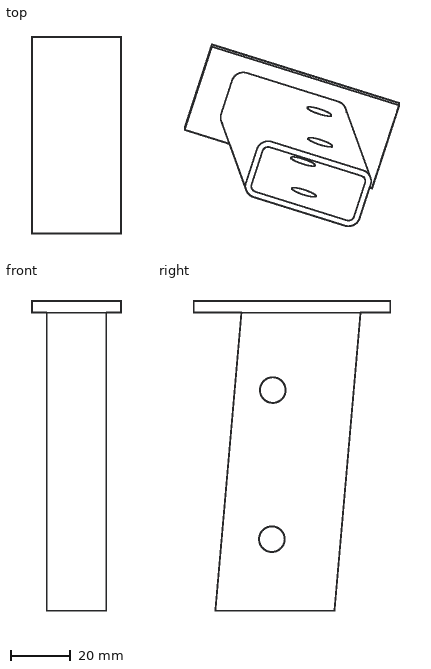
import cadquery as cq
import math

plate_width = 30.0
plate_length = 66.0
plate_thickness = 4.0
total_height = 104.0

post_width = 20.0
post_length = 40.0
corner_radius = 4.0
wall_thickness = 2.0
lean_angle = 5.0

hole_diameter = 8.5
hole_places = [(-6.5, 74.0), (-6.8, 24.0)]

post_height = total_height - plate_thickness
post_top_y = 3.0
post_bottom_y = post_top_y - post_height * math.tan(math.radians(lean_angle))


def leaning_bar(width, length, radius):
    """Rounded bar swept along the leaning line, with horizontal ends."""
    lean_line = cq.Workplane("YZ").moveTo(post_bottom_y, 0).lineTo(post_top_y, post_height)
    section = cq.Sketch().rect(width, length).vertices().fillet(radius)
    return cq.Workplane("XY", origin=(0, post_bottom_y, 0)).placeSketch(section).sweep(lean_line)


def make_post():
    """Rectangular tube with an even wall all round."""
    outside = leaning_bar(post_width, post_length, corner_radius)
    bore = leaning_bar(
        post_width - 2 * wall_thickness,
        post_length - 2 * wall_thickness,
        corner_radius - wall_thickness,
    )
    return outside.cut(bore)


def make_plate():
    """Flat plate closing the top of the post, which meets it off centre along Y."""
    return (
        cq.Workplane("XY", origin=(0, 0, post_height))
        .rect(plate_width, plate_length)
        .extrude(plate_thickness)
    )


def make_holes():
    """Cutters for the cross holes."""
    return (
        cq.Workplane("YZ")
        .pushPoints(hole_places)
        .circle(hole_diameter / 2)
        .extrude(post_width, both=True)
    )


result = make_post().union(make_plate()).cut(make_holes())